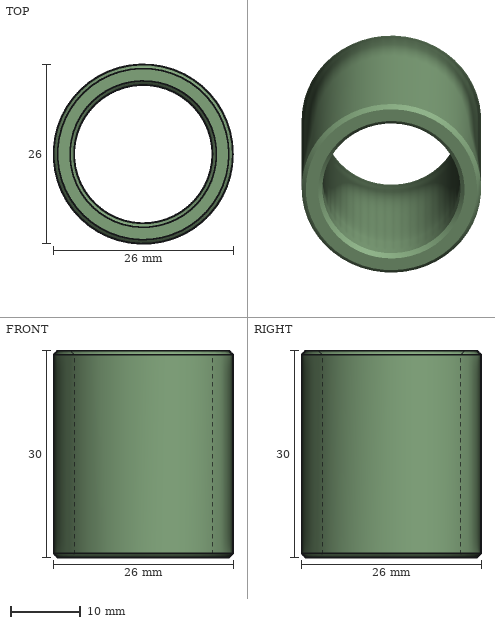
import cadquery as cq

length = 30.0
outer_diameter = 26.0
bore_diameter = 20.0
edge_chamfer = 0.6

tube = (
    cq.Workplane("XY")
    .circle(outer_diameter / 2)
    .circle(bore_diameter / 2)
    .extrude(length)
)

result = tube.faces("<Z or >Z").edges().chamfer(edge_chamfer)